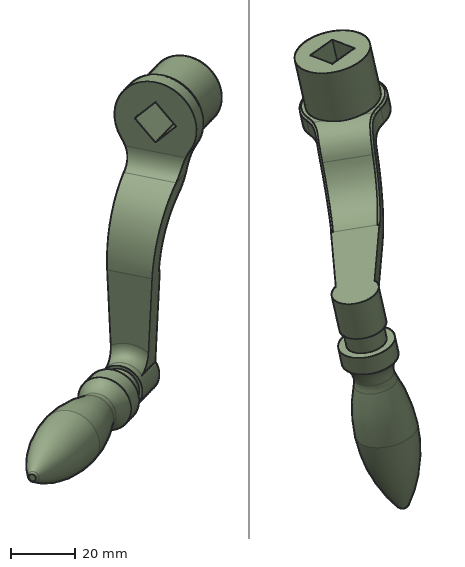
import cadquery as cq
import math

socket_radius = 12.0
socket_length = 18.0
hub_diameter = 28.0
hub_radius = hub_diameter / 2
hub_thickness = 6.1
square_diagonal = 14.0
edge_chamfer = 0.7

hub_front = socket_length + hub_thickness
arm_thickness = hub_thickness
arm_front = 44.0
upper_bend_z = -10.2
upper_bend_radius = 8.0
lower_bend_z = -43.7
shoulder_z = -17.1
shoulder_half_width = 8.9
foot_half_width = 6.0

handle_z = -80.0
boss_radius = 7.5
boss_front = 51.0
boss_fillet = 4.5
neck_radius = 6.4
collar_back = 57.1
collar_front = 63.3
collar_radius = 9.0
waist_front = 69.3
grip_start = 72.0
grip_start_radius = 6.9
grip_peak = 90.1
grip_radius = 10.0
tip_start = 118.3
tip_radius = 1.9
tip_end_radius = 1.2
tip_front = 119.0

arm_back = arm_front - arm_thickness

margin = 6.0


def cylinder(radius, z, back, front):
    """Cylinder along -Y between two distances from the socket end."""
    disc = cq.Workplane("XZ", origin=(0, -back, z)).circle(radius)
    return disc.extrude(front - back)


def outline():
    """Hub circle blended by concave shoulders into the tapering arm."""
    gap = hub_radius**2 - shoulder_half_width**2 - shoulder_z**2
    shoulder_radius = gap / (2 * (shoulder_half_width - hub_radius))
    center_x = shoulder_half_width + shoulder_radius
    to_hub = hub_radius / (hub_radius + shoulder_radius)
    join_x = center_x * to_hub
    join_z = shoulder_z * to_hub

    half_turn = math.atan2(-shoulder_z, center_x) / 2
    middle_x = center_x - shoulder_radius * math.cos(half_turn)
    middle_z = shoulder_z + shoulder_radius * math.sin(half_turn)

    plan_sketch = (
        cq.Workplane("XZ")
        .moveTo(-foot_half_width, handle_z)
        .lineTo(-shoulder_half_width, shoulder_z)
        .threePointArc((-middle_x, middle_z), (-join_x, join_z))
        .threePointArc((0, hub_radius), (join_x, join_z))
        .threePointArc((middle_x, middle_z), (shoulder_half_width, shoulder_z))
        .lineTo(foot_half_width, handle_z)
        .close()
    )
    return plan_sketch.extrude(tip_front)


def bent_profile():
    """Side shape of the hub plate and the two tangent bends below it."""
    forward = arm_front - hub_front
    down = upper_bend_z - lower_bend_z
    turn = 2 * math.atan2(forward, down)
    lower_bend_radius = down / math.sin(turn) - upper_bend_radius
    upper_center = (-hub_front - upper_bend_radius, upper_bend_z)
    lower_center = (lower_bend_radius - arm_front, lower_bend_z)

    def upper_point(radius, angle):
        return (
            upper_center[0] + radius * math.cos(angle),
            upper_center[1] - radius * math.sin(angle),
        )

    def lower_point(radius, angle):
        return (
            lower_center[0] - radius * math.cos(angle),
            lower_center[1] + radius * math.sin(angle),
        )

    upper_back_radius = upper_bend_radius + hub_thickness
    lower_back_radius = lower_bend_radius - arm_thickness
    top = hub_radius + margin
    profile = (
        cq.Workplane("YZ")
        .moveTo(-hub_front, top)
        .lineTo(-hub_front, upper_bend_z)
        .threePointArc(upper_point(upper_bend_radius, turn / 2), upper_point(upper_bend_radius, turn))
        .threePointArc(lower_point(lower_bend_radius, turn / 2), (-arm_front, lower_bend_z))
        .lineTo(-arm_back, lower_bend_z)
        .threePointArc(lower_point(lower_back_radius, turn / 2), lower_point(lower_back_radius, turn))
        .threePointArc(upper_point(upper_back_radius, turn / 2), (-socket_length, upper_bend_z))
        .lineTo(-socket_length, top)
        .close()
    )
    return profile.extrude(hub_radius + margin, both=True)


def straight_slab():
    """Block holding the straight lower part of the arm."""
    height = lower_bend_z - handle_z
    width = 2 * (hub_radius + margin)
    slab = cq.Workplane("XY").box(width, arm_thickness, height, centered=(True, False, False))
    return slab.translate((0, -arm_front, handle_z))


def chamfered_arm(plan):
    """Hub plate and cranked arm, with the rim chamfered along the rear face."""
    body = plan.intersect(bent_profile().union(straight_slab()).clean())
    rear_hub_rim = body.faces(">Y").edges("%CIRCLE").edges(">Z")
    return rear_hub_rim.chamfer(edge_chamfer)


def boss_blend(plan):
    """Concave fillet around the boss, limited to the width of the arm."""
    diagonal = boss_fillet * (1 - math.sqrt(0.5))
    ring = (
        cq.Workplane("XY")
        .moveTo(0, -arm_front)
        .lineTo(boss_radius + boss_fillet, -arm_front)
        .threePointArc(
            (boss_radius + diagonal, -arm_front - diagonal),
            (boss_radius, -arm_front - boss_fillet),
        )
        .lineTo(0, -arm_front - boss_fillet)
        .close()
        .revolve(360, (0, 0, 0), (0, 1, 0))
    )
    return ring.translate((0, 0, handle_z)).intersect(plan)


def arc_through_peak(peak, peak_radius, end, end_radius):
    """Midpoint of an arc level at its peak and passing through its end."""
    run = end - peak
    rise = end_radius - peak_radius
    half_turn = math.atan2(abs(rise), abs(run))
    radius = (run**2 + rise**2) / (2 * abs(rise))
    middle = peak + math.copysign(radius * math.sin(half_turn), run)
    middle_radius = peak_radius + math.copysign(radius * (1 - math.cos(half_turn)), rise)
    return (middle_radius, -middle)


def handle():
    """Turned neck, collar, waist and barrel-shaped grip."""
    return (
        cq.Workplane("XY")
        .moveTo(0, -arm_front)
        .lineTo(neck_radius, -arm_front)
        .lineTo(neck_radius, -collar_back)
        .lineTo(collar_radius, -collar_back)
        .lineTo(collar_radius, -collar_front)
        .threePointArc(
            arc_through_peak(waist_front, neck_radius, collar_front, collar_radius),
            (neck_radius, -waist_front),
        )
        .threePointArc(
            arc_through_peak(waist_front, neck_radius, grip_start, grip_start_radius),
            (grip_start_radius, -grip_start),
        )
        .threePointArc(
            arc_through_peak(grip_peak, grip_radius, grip_start, grip_start_radius),
            (grip_radius, -grip_peak),
        )
        .threePointArc(
            arc_through_peak(grip_peak, grip_radius, tip_start, tip_radius),
            (tip_radius, -tip_start),
        )
        .lineTo(tip_end_radius, -tip_front)
        .lineTo(0, -tip_front)
        .close()
        .revolve(360, (0, 0, 0), (0, 1, 0))
        .translate((0, 0, handle_z))
    )


plan = outline()
arm = chamfered_arm(plan).union(plan.intersect(straight_slab())).union(boss_blend(plan))
socket = cylinder(socket_radius, 0, 0, socket_length + edge_chamfer)
boss = cylinder(boss_radius, handle_z, arm_back, boss_front)
square_hole = cq.Workplane("XZ").polygon(4, square_diagonal).extrude(hub_front)

result = arm.union(socket).union(boss).union(handle()).cut(square_hole)